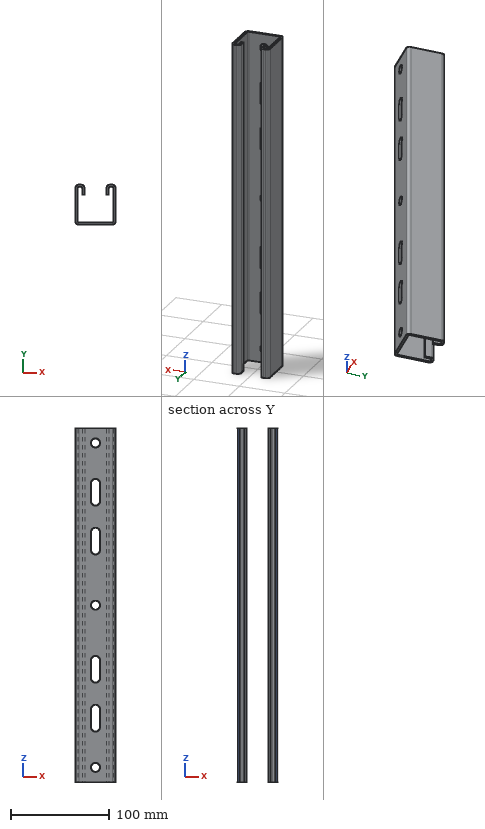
import cadquery as cq

length = 360.0
width = 41.0
depth = 41.0
wall = 2.5
outer_bend = 3.5
inner_bend = outer_bend - wall
lip_width = 9.5
lip_depth = 10.5

hole_diameter = 9.0
end_hole_offset = 165.0
slot_length = 27.0
slot_width = hole_diameter
inner_slot_offset = 65.0
slot_pitch = 49.5
outer_slot_offset = inner_slot_offset + slot_pitch

web_face_y = -depth / 2
bottom_z = -length / 2


def bar(bar_width, bar_depth, center_x, center_y, bend):
    """Full-length rectangular bar with rounded long edges."""
    return (
        cq.Workplane("XY", origin=(center_x, center_y, bottom_z))
        .rect(bar_width, bar_depth)
        .extrude(length)
        .edges("|Z")
        .fillet(bend)
    )


def channel_body():
    """Closed tube opened on the +Y side."""
    outer = bar(width, depth, 0, 0, outer_bend)
    cavity = bar(width - 2 * wall, depth - 2 * wall, 0, 0, inner_bend)
    opening = cq.Workplane("XY").box(width - 2 * lip_width, depth, length).translate((0, depth / 2, 0))
    return outer.cut(cavity).cut(opening)


def lip(side):
    """Returned lip on the given side (-1 or +1), cut off square at its free end."""
    center_x = side * (width - lip_width) / 2
    bar_depth = 2 * lip_depth
    center_y = (depth - bar_depth) / 2
    outer = bar(lip_width, bar_depth, center_x, center_y, outer_bend)
    cavity = bar(lip_width - 2 * wall, bar_depth - 2 * wall, center_x, center_y, inner_bend)
    inner_half = cq.Workplane("XY").box(lip_width, lip_depth, length)
    inner_half = inner_half.translate((center_x, center_y - lip_depth / 2, 0))
    return outer.cut(cavity).cut(inner_half)


def lip_region(side):
    """Block spanning the zone taken up by one lip."""
    block = cq.Workplane("XY").box(lip_width, lip_depth, length)
    return block.translate((side * (width - lip_width) / 2, (depth - lip_depth) / 2, 0))


def web_openings():
    """Cutters for the round holes and vertical slots in the web."""
    face = cq.Workplane("XZ", origin=(0, web_face_y + wall, 0))
    hole_points = [(0, z) for z in (-end_hole_offset, 0, end_hole_offset)]
    slot_points = [
        (0, side * offset)
        for side in (-1, 1)
        for offset in (inner_slot_offset, outer_slot_offset)
    ]
    holes = face.pushPoints(hole_points).circle(hole_diameter / 2).extrude(wall)
    slots = face.pushPoints(slot_points).slot2D(slot_length, slot_width, 90).extrude(wall)
    return holes.union(slots)


channel = channel_body()
for side in (-1, 1):
    channel = channel.cut(lip_region(side)).union(lip(side))

result = channel.cut(web_openings())